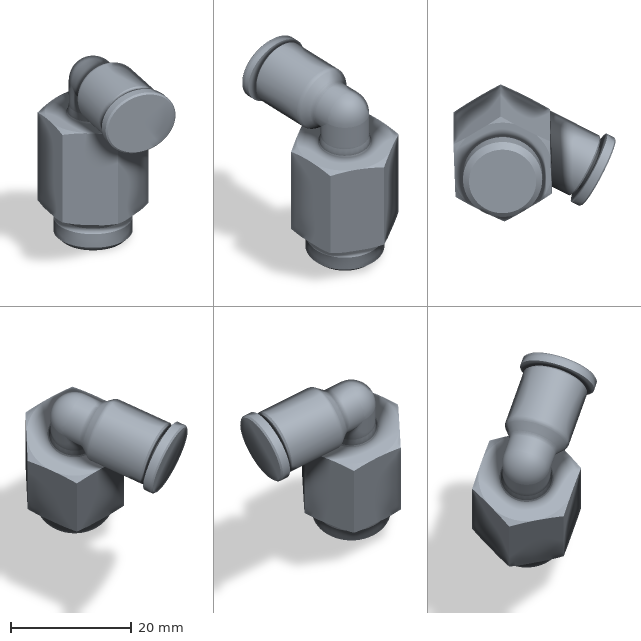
import cadquery as cq
import math

hex_across_flats = 16.0
hex_across_corners = hex_across_flats / math.cos(math.radians(30))
hex_bottom_z = 5.95
hex_top_z = 23.0
hex_chamfer_angle = 20.0
hex_bottom_face_radius = 8.28

thread_radius = 6.6
thread_top_z = 3.52
thread_tip_chamfer = 1.0
relief_radius = 5.62
relief_bottom_z = 4.07
relief_flare = 0.2
relief_flare_height = 0.5

overall_height = 34.5
barrel_radius = 5.6
elbow_radius = 4.05
outlet_z = overall_height - barrel_radius
collar_top_z = 24.43
collar_radius = 4.28
collar_foot = 0.2

cone_start_x = 3.4
cone_end_x = 5.3
cone_blend_radius = 1.0
barrel_end_x = 15.6
barrel_end_chamfer = 0.3
sleeve_radius = 3.83

overall_length = 27.2
button_end_x = overall_length - hex_across_corners / 2
button_thickness = 1.7
button_half_width = 6.5
button_half_height = 5.5
button_chamfer = 0.28


def revolve_about_z(profile):
    """Turn (radius, z) points, closed along the Z axis, into a solid."""
    points = [(0, profile[0][1])] + profile + [(0, profile[-1][1])]
    return cq.Workplane("XZ").polyline(points).close().revolve(360, (0, 0), (0, 1))


def make_hexagon():
    """Hexagonal prism with its corners turned off conically at both ends."""
    prism = (
        cq.Workplane("XY", origin=(0, 0, hex_bottom_z))
        .polygon(6, hex_across_corners)
        .extrude(hex_top_z - hex_bottom_z)
    )
    top_face_radius = hex_across_flats / 2
    corner_radius = hex_across_corners / 2
    chamfer_slope = math.tan(math.radians(hex_chamfer_angle))
    top_drop = (corner_radius - top_face_radius) * chamfer_slope
    bottom_rise = (corner_radius - hex_bottom_face_radius) * chamfer_slope
    turned_envelope = revolve_about_z([
        (hex_bottom_face_radius, hex_bottom_z),
        (corner_radius, hex_bottom_z + bottom_rise),
        (corner_radius, hex_top_z - top_drop),
        (top_face_radius, hex_top_z),
    ])
    return prism.intersect(turned_envelope)


def make_spigot():
    """Plain thread cylinder with a chamfered tip and a relief neck."""
    return revolve_about_z([
        (thread_radius - thread_tip_chamfer, 0),
        (thread_radius, thread_tip_chamfer),
        (thread_radius, thread_top_z),
        (relief_radius, relief_bottom_z),
        (relief_radius, hex_bottom_z - relief_flare_height),
        (relief_radius + relief_flare, hex_bottom_z),
    ])


def make_leg():
    """Upright leg with a flared collar, ending at the outlet axis."""
    return revolve_about_z([
        (collar_radius + collar_foot, hex_top_z),
        (collar_radius, hex_top_z + collar_foot),
        (elbow_radius, collar_top_z),
        (elbow_radius, outlet_z),
    ])


def make_bend():
    """Sphere rounding the outer side of the bend."""
    return cq.Workplane("XY").sphere(elbow_radius).translate((0, 0, outlet_z))


def make_barrel():
    """Horizontal leg widening through a blended cone into the barrel, with its sleeve."""
    cone_angle = math.atan2(barrel_radius - elbow_radius, cone_end_x - cone_start_x)
    blend_reach = cone_blend_radius * math.tan(cone_angle / 2)
    reach_x = blend_reach * math.cos(cone_angle)
    reach_r = blend_reach * math.sin(cone_angle)
    return (
        cq.Workplane("XZ", origin=(0, 0, outlet_z))
        .lineTo(0, elbow_radius)
        .lineTo(cone_start_x - blend_reach, elbow_radius)
        .radiusArc((cone_start_x + reach_x, elbow_radius + reach_r), -cone_blend_radius)
        .lineTo(cone_end_x - reach_x, barrel_radius - reach_r)
        .radiusArc((cone_end_x + blend_reach, barrel_radius), cone_blend_radius)
        .lineTo(barrel_end_x - barrel_end_chamfer, barrel_radius)
        .lineTo(barrel_end_x, barrel_radius - barrel_end_chamfer)
        .lineTo(barrel_end_x, sleeve_radius)
        .lineTo(button_end_x, sleeve_radius)
        .lineTo(button_end_x, 0)
        .close()
        .revolve(360, (0, 0), (1, 0))
    )


def make_button():
    """Oval disc, wider in Y than in Z, with a chamfered outer rim."""
    return (
        cq.Workplane("YZ", origin=(button_end_x - button_thickness, 0, outlet_z))
        .ellipse(button_half_width, button_half_height)
        .extrude(button_thickness)
        .faces(">X")
        .chamfer(button_chamfer)
    )


result = (
    make_barrel()
    .union(make_leg())
    .union(make_bend())
    .union(make_hexagon())
    .union(make_spigot())
    .union(make_button())
)